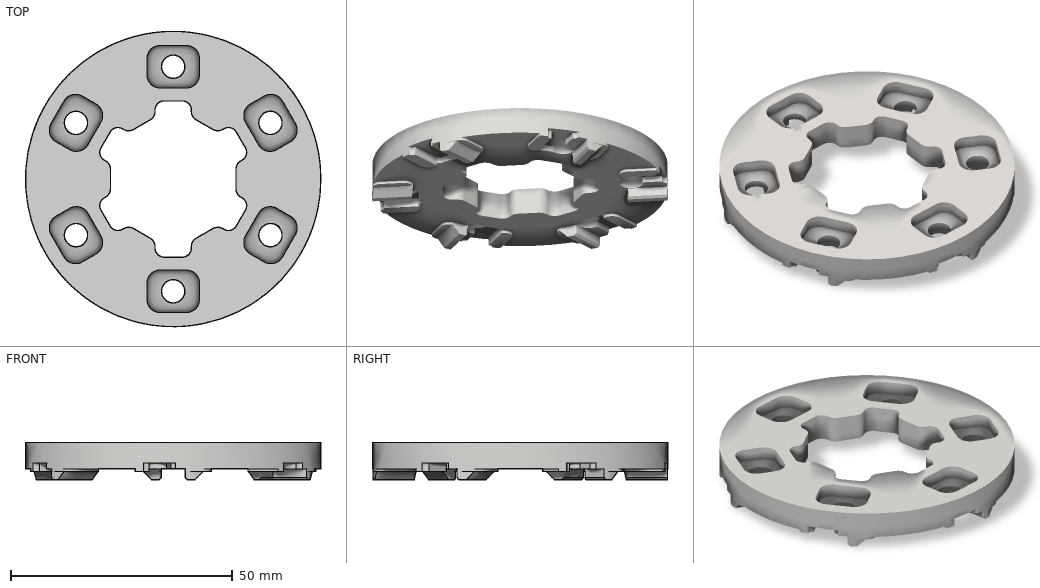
import cadquery as cq
import math

disc_radius = 33.4
disc_thickness = 6.0

station_count = 6
station_angle = 360 / station_count

opening_flat_distance = 14.15
lobe_half_width = 4.1
lobe_reach = 17.65
lobe_corner_radius = 2.0
lobe_root_radius = 2.3
root_tolerance = 0.1

bolt_circle_radius = 25.4
bolt_hole_diameter = 5.2
pocket_width = 11.9
pocket_length = 9.6
pocket_corner_radius = 3.0
pocket_depth = 3.0

pad_thickness = 0.6
pad_half_span = 8.6
pad_inner_radius = 24.45
pad_corner_radius = 2.0

tooth_height = 2.5
tooth_inner_side = 2.7
tooth_outer_side = 6.75
tooth_flush_side = 4.0
tooth_tip_chamfer = 0.55
tooth_corner_radius = 0.55
tooth_relief_angle = 15

slot_center = -3.0
slot_width = 5.0
slot_depth = 1.35
slot_inner_distance = 23.25
slot_corner_radius = 1.0

slot_left = slot_center - slot_width / 2
slot_right = slot_center + slot_width / 2
beyond_rim = disc_radius + 3.35


def station_point(side, out):
    return (side, -out)


def at_every_station(feature):
    pattern = feature
    for station in range(1, station_count):
        pattern = pattern.union(feature.rotate((0, 0, 0), (0, 0, 1), station * station_angle))
    return pattern


def hexagon(flat_distance, height):
    across_corners = 2 * flat_distance / math.cos(math.radians(station_angle / 2))
    return (
        cq.Workplane("XY")
        .polygon(station_count, across_corners)
        .extrude(height)
        .rotate((0, 0, 0), (0, 0, 1), station_angle / 2)
    )


def block(side_from, side_to, out_from, out_to, z_from, z_to):
    return (
        cq.Workplane("XY", origin=(0, 0, z_from))
        .moveTo(*station_point(side_from, out_from))
        .lineTo(*station_point(side_to, out_from))
        .lineTo(*station_point(side_to, out_to))
        .lineTo(*station_point(side_from, out_to))
        .close()
        .extrude(z_to - z_from)
    )


def make_opening():
    lobe = block(-lobe_half_width, lobe_half_width, 0, lobe_reach, 0, disc_thickness)
    lobe = lobe.edges("|Z and <Y").fillet(lobe_corner_radius)
    outline = hexagon(opening_flat_distance, disc_thickness).union(at_every_station(lobe))
    root_out = (opening_flat_distance - lobe_half_width / 2) / math.cos(math.radians(station_angle / 2))
    root_circle = math.hypot(lobe_half_width, root_out)
    roots = outline.edges("|Z").filter(
        lambda edge: abs(math.hypot(edge.Center().x, edge.Center().y) - root_circle) < root_tolerance
    )
    return roots.fillet(lobe_root_radius)


def make_bolt_seat():
    center = station_point(0, bolt_circle_radius)
    hole = cq.Workplane("XY").center(*center).circle(bolt_hole_diameter / 2).extrude(disc_thickness)
    pocket = (
        cq.Workplane("XY", origin=(0, 0, disc_thickness - pocket_depth))
        .center(*center)
        .rect(pocket_width, pocket_length)
        .extrude(pocket_depth)
        .edges("|Z")
        .fillet(pocket_corner_radius)
    )
    return hole.union(pocket)


def underside_ring(height):
    return (
        cq.Workplane("XY", origin=(0, 0, -height))
        .circle(disc_radius)
        .circle(pad_inner_radius)
        .extrude(height)
    )


def make_pads():
    ring = underside_ring(pad_thickness)
    slot_pad = block(-pad_half_span, slot_left, 0, beyond_rim, -pad_thickness, 0).intersect(ring)
    tooth_pad = block(tooth_inner_side, pad_half_span, 0, beyond_rim, -pad_thickness, 0).intersect(ring)
    slot_pad = slot_pad.edges("|Z and <X").edges(">Y").fillet(pad_corner_radius)
    tooth_pad = tooth_pad.edges("|Z and >X").fillet(pad_corner_radius)
    return slot_pad.union(tooth_pad)


def make_tooth():
    bevel = tooth_height - pad_thickness
    section = (
        cq.Workplane("XZ")
        .moveTo(tooth_inner_side, 0)
        .lineTo(tooth_outer_side, 0)
        .lineTo(tooth_outer_side, -pad_thickness)
        .lineTo(tooth_outer_side - bevel, -tooth_height)
        .lineTo(tooth_inner_side + tooth_tip_chamfer, -tooth_height)
        .lineTo(tooth_inner_side, tooth_tip_chamfer - tooth_height)
        .close()
        .extrude(beyond_rim)
    )
    flush_out = math.sqrt(disc_radius**2 - tooth_flush_side**2)
    relief_run = tooth_outer_side - tooth_flush_side
    relief_out = flush_out - relief_run * math.tan(math.radians(tooth_relief_angle))
    relief = (
        cq.Workplane("XY", origin=(0, 0, -tooth_height))
        .moveTo(*station_point(tooth_flush_side, flush_out))
        .lineTo(*station_point(tooth_outer_side, relief_out))
        .lineTo(*station_point(tooth_outer_side, beyond_rim))
        .lineTo(*station_point(tooth_flush_side, beyond_rim))
        .close()
        .extrude(tooth_height)
    )
    footprint = block(tooth_inner_side, tooth_outer_side, 0, beyond_rim, -tooth_height, 0)
    footprint = footprint.intersect(underside_ring(tooth_height))
    footprint = footprint.edges("|Z and <X").edges(">Y").fillet(tooth_corner_radius)
    return section.intersect(footprint).cut(relief)


def make_slot():
    height = pad_thickness + slot_depth
    slot = block(slot_left, slot_right, slot_inner_distance, beyond_rim, -pad_thickness, slot_depth)
    slot = slot.edges("|Z and >Y").fillet(slot_corner_radius)
    for wall, outward in ((slot_left, -1), (slot_right, 1)):
        lip_side = wall + outward * slot_corner_radius
        lip_out = math.sqrt((disc_radius - slot_corner_radius) ** 2 - lip_side**2)
        rim_scale = disc_radius / (disc_radius - slot_corner_radius)
        rim_side = lip_side * rim_scale
        rim_out = lip_out * rim_scale
        flare = (
            cq.Workplane("XY", origin=(0, 0, -pad_thickness))
            .moveTo(*station_point(wall, lip_out))
            .radiusArc(station_point(rim_side, rim_out), outward * slot_corner_radius)
            .lineTo(*station_point(rim_side, beyond_rim))
            .lineTo(*station_point(wall, beyond_rim))
            .close()
            .extrude(height)
        )
        slot = slot.union(flare)
    return slot


disc = cq.Workplane("XY").circle(disc_radius).extrude(disc_thickness)
result = (
    disc.union(at_every_station(make_pads()))
    .union(at_every_station(make_tooth()))
    .cut(make_opening())
    .cut(at_every_station(make_bolt_seat()))
    .cut(at_every_station(make_slot()))
)